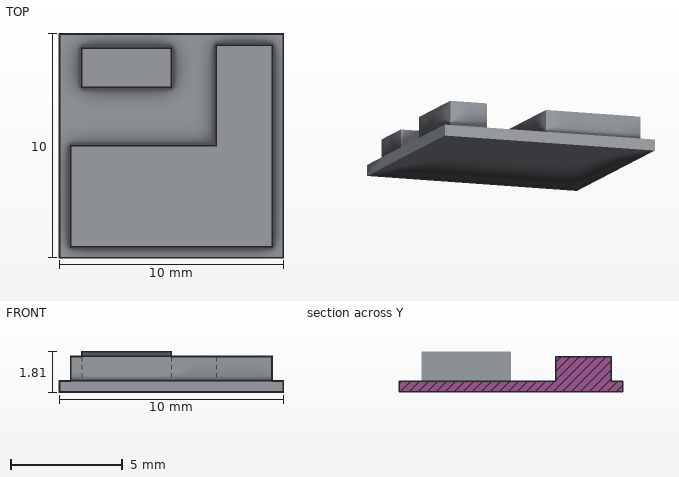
import cadquery as cq

board_side = 10.0
board_thickness = 0.5
overall_height = 1.81

cover_margin = 0.5
cover_height = 1.1
cover_arm_width = 2.5
cover_body_depth = 4.5

chip_length = 4.0
chip_width = 1.75
chip_left_margin = 1.0
chip_back_margin = 0.63
chip_height = overall_height - board_thickness

half_board = board_side / 2


def make_board():
    return cq.Workplane("XY").box(board_side, board_side, board_thickness, centered=(True, True, False))


def make_cover():
    outer = half_board - cover_margin
    inner_x = outer - cover_arm_width
    inner_y = -outer + cover_body_depth
    outline = [
        (-outer, -outer),
        (outer, -outer),
        (outer, outer),
        (inner_x, outer),
        (inner_x, inner_y),
        (-outer, inner_y),
    ]
    return (
        cq.Workplane("XY")
        .workplane(offset=board_thickness)
        .polyline(outline)
        .close()
        .extrude(cover_height)
    )


def make_chip():
    left = -half_board + chip_left_margin
    front = half_board - chip_back_margin - chip_width
    return (
        cq.Workplane("XY")
        .box(chip_length, chip_width, chip_height, centered=False)
        .translate((left, front, board_thickness))
    )


result = make_board().union(make_cover()).union(make_chip())